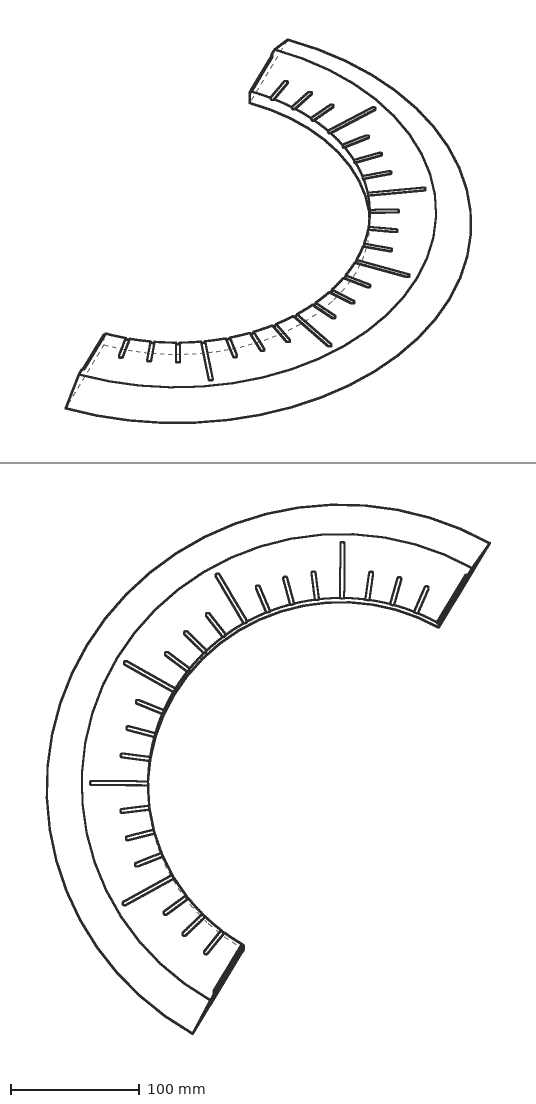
import cadquery as cq
import math

quarter_turn = 90.0
half_turn = 2 * quarter_turn
outer_radius = 228.6
inner_radius = 149.9
thickness = 12.7
bevel_angle = 25.0
top_radius = outer_radius - thickness / math.tan(math.radians(bevel_angle))

groove_radius = 1.6
bore_overrun = 2 * groove_radius
groove_step = 7.5
grooves_per_major = 4
long_groove_end = 195.0
short_groove_end = 172.7


def half_ring():
    """Revolve the bevelled cross-section from the -Y end round to the +Y end."""
    section = (
        cq.Workplane("XZ")
        .moveTo(inner_radius, 0)
        .lineTo(outer_radius, 0)
        .lineTo(top_radius, thickness)
        .lineTo(inner_radius, thickness)
        .close()
    )
    ring = section.revolve(half_turn, (0, 0, 0), (0, 1, 0))
    return ring.rotate((0, 0, 0), (0, 0, 1), -quarter_turn)


def groove_cutter(end_radius, angle):
    """Radial round bar on the top face, with a ball tip and its inner end inside the bore."""
    start_radius = inner_radius - bore_overrun
    tip_centre = end_radius - groove_radius
    bar = (
        cq.Workplane("YZ", origin=(start_radius, 0, thickness))
        .circle(groove_radius)
        .extrude(tip_centre - start_radius)
    )
    tip = cq.Workplane("XY", origin=(tip_centre, 0, thickness)).sphere(groove_radius)
    return bar.union(tip).rotate((0, 0, 0), (0, 0, 1), angle)


def cut_graduations(body):
    """Cut all grooves; the first and last straddle the end faces as quarter-round steps."""
    intervals = round(half_turn / groove_step)
    for index in range(intervals + 1):
        is_long = index % grooves_per_major == 0
        end_radius = long_groove_end if is_long else short_groove_end
        angle = index * groove_step - quarter_turn
        body = body.cut(groove_cutter(end_radius, angle))
    return body


result = cut_graduations(half_ring())